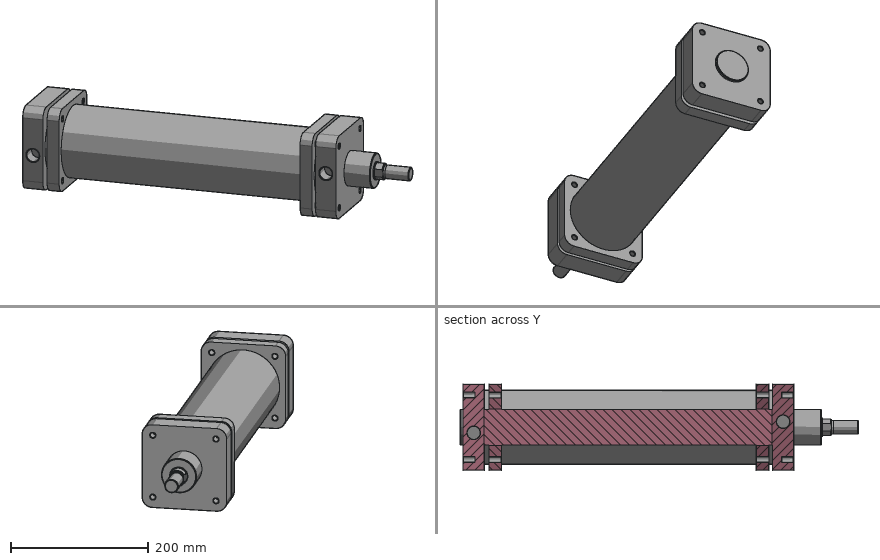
import cadquery as cq


TOTAL_LENGTH = 581.0
REAR_BOSS_LENGTH = 4.0
HEAD_LENGTH = 31.5
FRONT_HEAD_END = 487.0
FRONT_BOSS_LENGTH = 40.0
FLANGE_LENGTH = 18.5
REAR_FLANGE_GAP = 6.5
FRONT_FLANGE_GAP = 5.0

REAR_HEAD_START = REAR_BOSS_LENGTH
REAR_HEAD_END = REAR_HEAD_START + HEAD_LENGTH
FRONT_HEAD_START = FRONT_HEAD_END - HEAD_LENGTH
REAR_FLANGE_START = REAR_HEAD_END + REAR_FLANGE_GAP
FRONT_FLANGE_START = FRONT_HEAD_START - FRONT_FLANGE_GAP - FLANGE_LENGTH
BOSS_FACE = FRONT_HEAD_END + FRONT_BOSS_LENGTH

SIDE = 126.0
CORNER_RADIUS = 15.0
BOLT_SPACING = 94.0

TUBE_DIAMETER = 108.0
BOSS_DIAMETER = 52.0
BOSS_CHAMFER = 1.0

BOLT_HOLE_DIAMETER = 7.5
BOLT_HOLE_CHAMFER = 0.9
BOLT_HOLE_DEPTH = 17.5

PORT_DIAMETER = 19.0
PORT_CHAMFER = 1.0
PORT_DEPTH = 23.0
PORT_OFFSET = 8.0

COLLAR_DIAMETER = 27.0
COLLAR_LENGTH = 2.0
SHANK_DIAMETER = 24.5
SHANK_END = 541.5
SHANK_CHAMFER = 1.0
ACROSS_FLATS = 21.5
NECK_DIAMETER = 20.0
NECK_LENGTH = 3.0
THREAD_DIAMETER = 20.5
THREAD_CHAMFER = 1.0


def section(x):
    """Workplane across the cylinder axis at x, facing +X."""
    return cq.Workplane("YZ", origin=(x, 0, 0))


def disc(x, diameter, length):
    return section(x).circle(diameter / 2).extrude(length)


def square_block(x, length):
    block = section(x).rect(SIDE, SIDE).extrude(length)
    return block.edges("|X").fillet(CORNER_RADIUS)


def chamfered_drill(point, direction, diameter, depth, chamfer):
    """Tool for a blind hole whose mouth at point is widened by a 45 degree chamfer."""
    start = cq.Vector(*point)
    axis = cq.Vector(*direction)
    bore = cq.Solid.makeCylinder(diameter / 2, depth, start, axis)
    mouth = cq.Solid.makeCone(diameter / 2 + chamfer, diameter / 2, chamfer, start, axis)
    return bore.fuse(mouth)


def drill_bolt_holes(block, face_x, inward, depth):
    """Drill the four chamfered bolt holes from the face at face_x, inward being +1 or -1 along X."""
    for y in (-BOLT_SPACING / 2, BOLT_SPACING / 2):
        for z in (-BOLT_SPACING / 2, BOLT_SPACING / 2):
            mouth = (face_x, y, z)
            hole = chamfered_drill(mouth, (inward, 0, 0), BOLT_HOLE_DIAMETER, depth, BOLT_HOLE_CHAMFER)
            block = block.cut(hole)
    return block


def make_head(start, outer_face, inward, port_z):
    """Head block with blind bolt holes in its outer face and one air port."""
    head = square_block(start, HEAD_LENGTH)
    head = drill_bolt_holes(head, outer_face, inward, BOLT_HOLE_DEPTH)
    port_mouth = (start + HEAD_LENGTH / 2, -SIDE / 2, port_z)
    return head.cut(chamfered_drill(port_mouth, (0, 1, 0), PORT_DIAMETER, PORT_DEPTH, PORT_CHAMFER))


def make_rear_head():
    boss = disc(0, BOSS_DIAMETER, REAR_BOSS_LENGTH).faces("<X").chamfer(BOSS_CHAMFER)
    return make_head(REAR_HEAD_START, REAR_HEAD_START, 1, -PORT_OFFSET).union(boss)


def make_front_head():
    boss = disc(FRONT_HEAD_END, BOSS_DIAMETER, FRONT_BOSS_LENGTH).faces(">X").chamfer(BOSS_CHAMFER)
    return make_head(FRONT_HEAD_START, FRONT_HEAD_END, -1, PORT_OFFSET).union(boss)


def make_flange(start, drilled_face, inward):
    """Square flange around the tube, with bolt holes through it from the face away from its head."""
    flange = square_block(start, FLANGE_LENGTH).cut(disc(start, TUBE_DIAMETER, FLANGE_LENGTH))
    return drill_bolt_holes(flange, drilled_face, inward, FLANGE_LENGTH)


def make_tube():
    return disc(REAR_HEAD_END, TUBE_DIAMETER, FRONT_HEAD_START - REAR_HEAD_END)


def make_rod():
    """Rod end in front of the boss: collar, shank with two wrench flats, neck and thread."""
    shank_start = BOSS_FACE + COLLAR_LENGTH
    shank_length = SHANK_END - shank_start
    thread_start = SHANK_END + NECK_LENGTH

    collar = disc(BOSS_FACE, COLLAR_DIAMETER, COLLAR_LENGTH)
    shank = disc(shank_start, SHANK_DIAMETER, shank_length).faces(">X").chamfer(SHANK_CHAMFER)
    flats = section(shank_start).rect(ACROSS_FLATS, SHANK_DIAMETER).extrude(shank_length)
    neck = disc(SHANK_END, NECK_DIAMETER, NECK_LENGTH)
    thread = disc(thread_start, THREAD_DIAMETER, TOTAL_LENGTH - thread_start)
    thread = thread.faces(">X").chamfer(THREAD_CHAMFER)
    return collar.union(shank.intersect(flats)).union(neck).union(thread)


rear_head = make_rear_head()
front_head = make_front_head()
tube = make_tube()
rod = make_rod()
flanges = [
    make_flange(start, drilled_face, inward)
    for start, drilled_face, inward in (
        (REAR_FLANGE_START, REAR_FLANGE_START + FLANGE_LENGTH, -1),
        (FRONT_FLANGE_START, FRONT_FLANGE_START, 1),
    )
]

result = cq.Compound.makeCompound(
    [
        rear_head.val(),
        *[flange.val() for flange in flanges],
        tube.val(),
        front_head.val(),
        rod.val(),
    ]
)